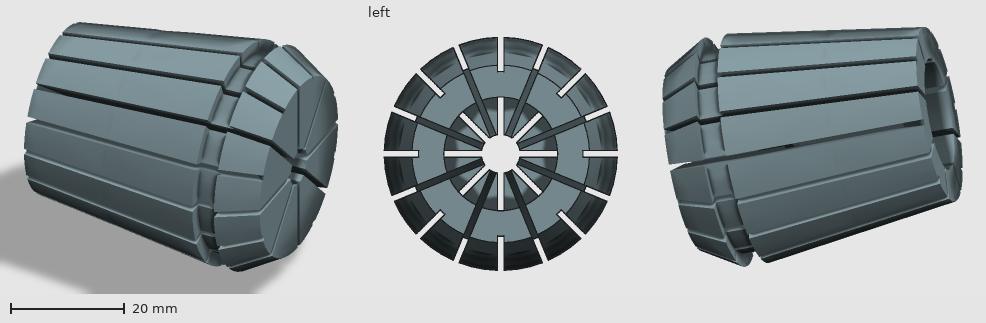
import cadquery as cq
import math

length = 46.0
major_diameter = 41.0
rear_taper_angle = 8.0
front_taper_angle = 30.0
groove_start = 34.8
groove_end = 39.0
groove_radius = 18.1

relief_radius = 10.0
relief_depth = 27.6
grip_radius = 3.4

slit_width = 1.1
slits_per_end = 8
saw_radius = 39.1
front_slit_exit_radius = 14.5
front_slit_exit_angle = 41.0
rear_slit_exit_radius = 16.05
rear_slit_exit_angle = 31.0

major_radius = major_diameter / 2
rear_radius = major_radius - groove_start * math.tan(math.radians(rear_taper_angle))
front_radius = major_radius - (length - groove_end) * math.tan(math.radians(front_taper_angle))


def collet_body():
    """Double-tapered body with an extraction groove and a stepped bore."""
    half_section = [
        (0, relief_radius),
        (0, rear_radius),
        (groove_start, major_radius),
        (groove_start, groove_radius),
        (groove_end, groove_radius),
        (groove_end, major_radius),
        (length, front_radius),
        (length, grip_radius),
        (relief_depth, grip_radius),
        (relief_depth, relief_radius),
    ]
    return (
        cq.Workplane("XY")
        .polyline(half_section)
        .close()
        .revolve(360, (0, 0, 0), (1, 0, 0))
    )


def saw_slit(exit_radius, exit_angle):
    """Slit on the +Y side, open at X = length.

    Its floor is an arc of the saw blade, rising from inside the bore to exit_radius at X = 0.
    """
    lean = math.radians(exit_angle)
    blade_x = saw_radius * math.cos(lean)
    blade_y = exit_radius + saw_radius * math.sin(lean)
    floor_y = grip_radius / 2
    floor_x = blade_x - math.sqrt(saw_radius**2 - (blade_y - floor_y)**2)
    top_x = blade_x - saw_radius
    return (
        cq.Workplane("XY")
        .moveTo(floor_x, floor_y)
        .threePointArc((0, exit_radius), (top_x, blade_y))
        .lineTo(length, blade_y)
        .lineTo(length, floor_y)
        .close()
        .extrude(slit_width / 2, both=True)
    )


def cut_around_axis(body, slit, first_angle):
    """Cut evenly spaced copies of a slit around the X axis."""
    for index in range(slits_per_end):
        angle = first_angle + index * 360 / slits_per_end
        body = body.cut(slit.rotate((0, 0, 0), (1, 0, 0), angle))
    return body


front_slit = saw_slit(front_slit_exit_radius, front_slit_exit_angle)
rear_slit = (
    saw_slit(rear_slit_exit_radius, rear_slit_exit_angle)
    .mirror("YZ")
    .translate((length, 0, 0))
)

half_pitch = 180 / slits_per_end
result = collet_body()
result = cut_around_axis(result, front_slit, 0)
result = cut_around_axis(result, rear_slit, half_pitch)